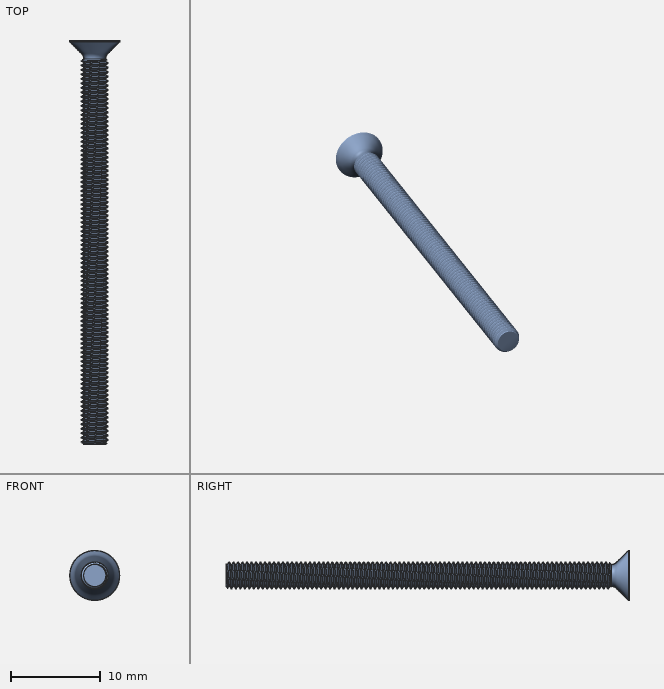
import cadquery as cq
import math

length = 45.0
head_diameter = 5.6
thread_diameter = 3.0
pitch = length / 90
rim_height = 0.15
neck_fillet = 0.7
thread_start = 2.02
lead_in = 0.25
start_angle = 55.0

sharp_height = pitch * math.sqrt(3) / 2
thread_depth = sharp_height * 5 / 8
crest_width = pitch / 8
root_width = pitch / 4

head_radius = head_diameter / 2
crest_radius = thread_diameter / 2
root_radius = crest_radius - thread_depth
envelope_clearance = 0.22
hidden_turns = 1.5


def make_head():
    """Countersunk head and its filleted neck as one revolved profile."""
    cone_angle = math.radians(45)
    cone_end_radius = root_radius + neck_fillet * (1 - math.cos(cone_angle))
    cone_end = rim_height + head_radius - cone_end_radius
    fillet_end = cone_end + neck_fillet * math.sin(cone_angle)
    mid_turn = cone_angle / 2
    fillet_mid_radius = root_radius + neck_fillet * (1 - math.cos(mid_turn))
    fillet_mid = fillet_end - neck_fillet * math.sin(mid_turn)
    return (
        cq.Workplane("XY")
        .moveTo(0, 0)
        .lineTo(head_radius, 0)
        .lineTo(head_radius, -rim_height)
        .lineTo(cone_end_radius, -cone_end)
        .threePointArc((fillet_mid_radius, -fillet_mid), (root_radius, -fillet_end))
        .lineTo(root_radius, -thread_start)
        .lineTo(0, -thread_start)
        .close()
        .revolve(360, (0, 0, 0), (0, 1, 0))
    )


def make_endless_thread():
    """Threaded rod around Z, one full turn after another, closed by a helicoid at each end."""
    turns = math.ceil((length - thread_start) / pitch + 2 * hidden_turns)
    flank_width = (pitch - root_width - crest_width) / 2
    profile = [
        (root_radius, 0),
        (root_radius, root_width),
        (crest_radius, root_width + flank_width),
        (crest_radius, pitch - flank_width),
        (root_radius, pitch),
    ]

    def helix_turn(radius, rise):
        helix = cq.Wire.makeHelix(pitch, pitch, radius)
        return helix.translate(cq.Vector(0, 0, rise)).Edges()[0]

    helices = [helix_turn(radius, rise) for radius, rise in profile]
    turn_faces = [
        cq.Face.makeRuledSurface(lower, upper)
        for lower, upper in zip(helices, helices[1:])
    ]
    axis = cq.Edge.makeLine(cq.Vector(0, 0, 0), cq.Vector(0, 0, pitch))
    helicoid = cq.Face.makeRuledSurface(axis, helices[0])
    step_corners = [cq.Vector(0, 0, 0)]
    step_corners += [cq.Vector(radius, 0, rise) for radius, rise in profile]
    step_corners += [cq.Vector(0, 0, pitch), cq.Vector(0, 0, 0)]
    step = cq.Face.makeFromWires(cq.Wire.makePolygon(step_corners))

    faces = []
    for turn in range(turns):
        faces += [face.translate(cq.Vector(0, 0, turn * pitch)) for face in turn_faces]
    for rise in (0, turns * pitch):
        faces.append(helicoid.translate(cq.Vector(0, 0, rise)))
    faces.append(step)
    faces.append(step.translate(cq.Vector(0, 0, turns * pitch)))
    return cq.Solid.makeSolid(cq.Shell.makeShell(faces))


def make_thread_envelope():
    """Volume keeping the thread: a tapered lead-in under the head and a 45 degree tip chamfer."""
    outer_radius = crest_radius + envelope_clearance
    lead_in_slope = lead_in / thread_depth
    lead_in_end = thread_start + lead_in_slope * (outer_radius - root_radius)
    chamfer_start = length - (outer_radius - root_radius)
    return (
        cq.Workplane("XY")
        .moveTo(0, -thread_start)
        .lineTo(root_radius, -thread_start)
        .lineTo(outer_radius, -lead_in_end)
        .lineTo(outer_radius, -chamfer_start)
        .lineTo(root_radius, -length)
        .lineTo(0, -length)
        .close()
        .revolve(360, (0, 0, 0), (0, 1, 0))
    )


thread = (
    cq.Workplane(obj=make_endless_thread())
    .rotate((0, 0, 0), (0, 0, 1), start_angle)
    .rotate((0, 0, 0), (1, 0, 0), 90)
    .translate((0, hidden_turns * pitch - thread_start, 0))
    .intersect(make_thread_envelope())
)
result = make_head().union(thread)